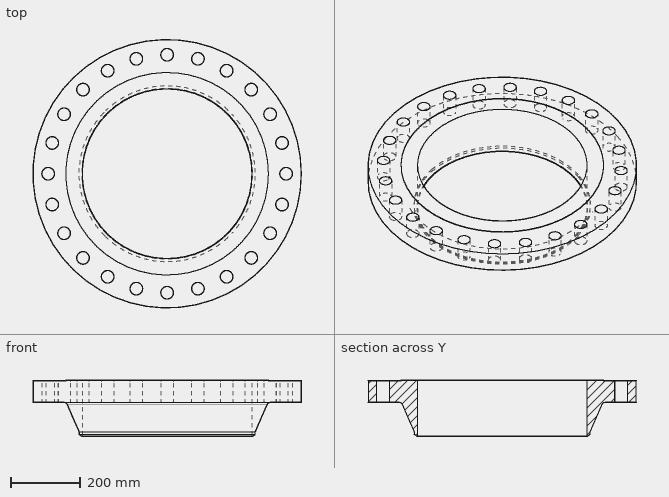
import cadquery as cq

outer_diameter = 775.0
bore_diameter = 489.0
total_height = 162.0

plate_thickness = 63.0
raised_face_height = 1.5
raised_face_diameter = 584.0

hub_top_diameter = 582.5
hub_fillet_radius = 11.0
neck_diameter = 508.0
neck_height = 12.5

bevel_width = 8.0
bevel_height = 5.0

bolt_count = 24
bolt_circle_diameter = 686.0
bolt_hole_diameter = 36.0

plate_top = total_height - raised_face_height
plate_bottom = plate_top - plate_thickness


def make_flange_body():
    """Revolve the half section, including the bore, around the Z axis."""
    bore_radius = bore_diameter / 2
    neck_radius = neck_diameter / 2
    section = [
        (bore_radius, 0),
        (neck_radius - bevel_width, 0),
        (neck_radius, bevel_height),
        (neck_radius, neck_height),
        (hub_top_diameter / 2, plate_bottom),
        (outer_diameter / 2, plate_bottom),
        (outer_diameter / 2, plate_top),
        (raised_face_diameter / 2, plate_top),
        (raised_face_diameter / 2, total_height),
        (bore_radius, total_height),
    ]
    body = cq.Workplane("XZ").polyline(section).close().revolve(360, (0, 0, 0), (0, 1, 0))

    corner_reach = hub_top_diameter / 2 + hub_fillet_radius
    corner_box = cq.selectors.BoxSelector(
        (-corner_reach, -corner_reach, plate_bottom - hub_fillet_radius),
        (corner_reach, corner_reach, plate_bottom + hub_fillet_radius),
        boundingbox=True,
    )
    return body.edges("%CIRCLE").edges(corner_box).fillet(hub_fillet_radius)


def make_bolt_holes():
    """Ring of cylinders, the first on +X, running through the plate."""
    return (
        cq.Workplane("XY", origin=(0, 0, plate_bottom))
        .polarArray(bolt_circle_diameter / 2, 0, 360, bolt_count)
        .circle(bolt_hole_diameter / 2)
        .extrude(plate_thickness)
    )


result = make_flange_body().cut(make_bolt_holes())